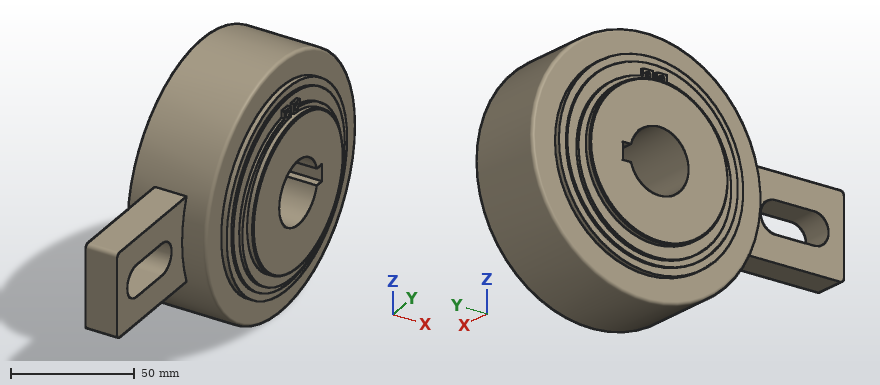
import cadquery as cq

overall_length = 169.0

hub_width = 54.0
hub_radius = 35.5
hub_chamfer = 0.5
bore_radius = 15.0
key_width = 8.0
key_reach = 18.6

housing_width = 38.0
housing_radius = 59.0
housing_fillet = 1.5
cover_width = 43.3
cover_radius = 47.3
seal_width = 45.3
seal_radius = 43.8

ring_thickness = 1.5
ring_radius = 39.2
ring_drop = 1.9
ring_gap = 2.2
lug_span = 12.2
lug_top = 40.0
lug_hole_radius = 1.4
lug_hole_spacing = 7.1
lug_hole_height = 37.7

arm_thickness = 15.0
arm_height = 40.0
arm_reach = overall_length - housing_radius
arm_fillet = 2.0
slot_length = 34.8
slot_width = 15.0
slot_center = 84.7


def disc(radius, width):
    """Disc on the X axis, centred on the middle plane."""
    return cq.Workplane("YZ", origin=(-width / 2, 0, 0)).circle(radius).extrude(width)


def make_arm():
    arm = (
        cq.Workplane("XY")
        .box(arm_thickness, arm_reach, arm_height)
        .translate((0, -arm_reach / 2, 0))
        .faces("<Y")
        .edges("|X")
        .fillet(arm_fillet)
    )
    slot = (
        cq.Workplane("YZ")
        .center(-slot_center, 0)
        .slot2D(slot_length, slot_width)
        .extrude(arm_thickness, both=True)
    )
    return arm.cut(slot)


def make_retaining_ring():
    """Eccentric ring on the +X seal face, split between two drilled lugs."""
    face = cq.Workplane("YZ", origin=(seal_width / 2, 0, 0))
    ring = face.center(0, -ring_drop).circle(ring_radius).extrude(ring_thickness)
    lugs = face.center(0, lug_top / 2).rect(lug_span, lug_top).extrude(ring_thickness)
    gap = face.center(0, lug_top / 2).rect(ring_gap, lug_top).extrude(ring_thickness)
    holes = (
        face.center(0, lug_hole_height)
        .rarray(lug_hole_spacing, 1.7, 2, 1)
        .circle(lug_hole_radius)
        .extrude(ring_thickness)
    )
    return ring.union(lugs).cut(gap).cut(holes)


def make_keyed_bore():
    keyway = cq.Workplane("XY").box(hub_width, key_reach, key_width).translate((0, key_reach / 2, 0))
    return disc(bore_radius, hub_width).union(keyway)


housing = disc(housing_radius, housing_width).edges("%CIRCLE").fillet(housing_fillet)
covers = disc(cover_radius, cover_width)
seals = disc(seal_radius, seal_width)
hub = disc(hub_radius, hub_width).edges("%CIRCLE").chamfer(hub_chamfer)
ring = make_retaining_ring()

result = housing.union(make_arm()).union(covers).union(seals)
for side_ring in (ring, ring.mirror("YZ")):
    result = result.union(side_ring)
result = result.union(hub).cut(make_keyed_bore())